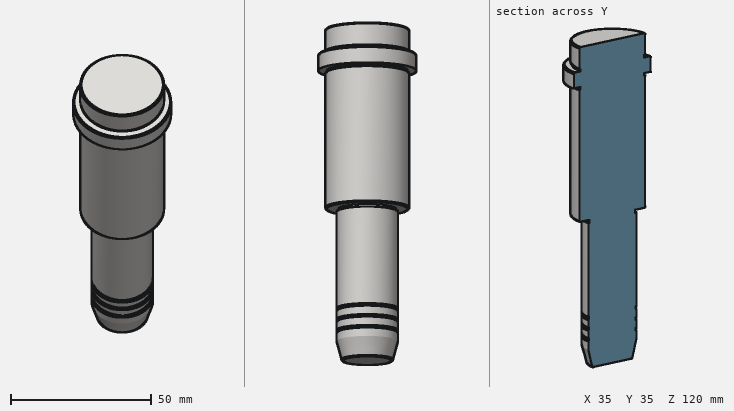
import cadquery as cq

total_length = 120.0
body_radius = 15.0
flange_radius = 17.5
pin_diameter = 22.0
pin_radius = pin_diameter / 2
edge_chamfer = 0.5
cap_lower_chamfer = 0.4

shoulder_z = 55.0
flange_bottom_z = 105.0
flange_top_z = 111.0
cap_bottom_z = 111.6

neck_radius = 14.4
relief_height = 0.5
body_top_z = flange_bottom_z - relief_height
pin_neck_radius = 10.3
pin_neck_height = 1.0
pin_neck_bottom_z = shoulder_z - pin_neck_height

taper_length = 7.0
tip_radius = 9.2
tip_chamfer = 0.5

groove_count = 3
groove_pitch = 4.0
groove_width = 1.0
groove_depth = 0.4
groove_slope_height = 0.6
first_groove_z = 10.1


def cylinder(radius, bottom, top):
    return cq.Workplane("XY").workplane(offset=bottom).circle(radius).extrude(top - bottom)


def make_pin():
    return (
        cq.Workplane("XZ")
        .lineTo(tip_radius - tip_chamfer, 0)
        .lineTo(tip_radius, tip_chamfer)
        .lineTo(pin_radius, taper_length)
        .lineTo(pin_radius, pin_neck_bottom_z)
        .lineTo(pin_neck_radius, pin_neck_bottom_z)
        .lineTo(pin_neck_radius, shoulder_z)
        .lineTo(0, shoulder_z)
        .close()
        .revolve(360, (0, 0, 0), (0, 1, 0))
    )


def make_groove(bottom):
    """Ring cutter with a flat upper wall and a lower wall sloping outward."""
    floor_radius = pin_radius - groove_depth
    return (
        cq.Workplane("XZ")
        .moveTo(pin_radius, bottom)
        .lineTo(floor_radius, bottom + groove_slope_height)
        .lineTo(floor_radius, bottom + groove_width)
        .lineTo(pin_radius, bottom + groove_width)
        .close()
        .revolve(360, (0, 0, 0), (0, 1, 0))
    )


pin = make_pin()
for index in range(groove_count):
    pin = pin.cut(make_groove(first_groove_z + index * groove_pitch))

body = cylinder(body_radius, shoulder_z, body_top_z).edges().chamfer(edge_chamfer)
neck = cylinder(neck_radius, body_top_z, cap_bottom_z)
flange = cylinder(flange_radius, flange_bottom_z, flange_top_z).edges(">Z").chamfer(edge_chamfer)
cap = cylinder(body_radius, cap_bottom_z, total_length).edges(">Z").chamfer(edge_chamfer)
cap = cap.edges("<Z").chamfer(cap_lower_chamfer)

result = pin.union(body).union(neck).union(flange).union(cap)